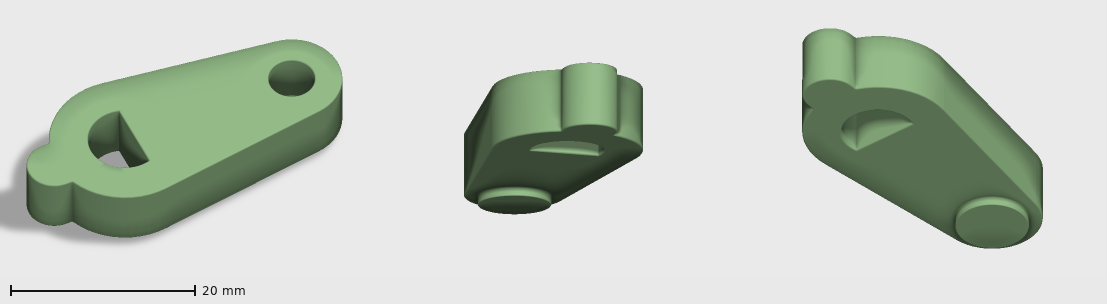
import cadquery as cq
import math

large_radius = 8.25
small_radius = 5.5
centre_distance = 20.0
tail_radius = 3.0
tail_offset = 8.45
plate_thickness = 7.0
window_radius = 4.0
window_flat_y = 1.1
hole_radius = 2.5
hole_depth = 6.0
boss_radius = 4.0
boss_height = 1.0
edge_fillet = 0.2
boss_rim_fillet = 0.1


def tapered_plate():
    """Two round ends of different size joined by their common tangents."""
    tangent_sine = (large_radius - small_radius) / centre_distance
    tangent_cosine = math.sqrt(1 - tangent_sine**2)
    large_x = large_radius * tangent_cosine
    large_y = large_radius * tangent_sine
    small_x = small_radius * tangent_cosine
    small_y = centre_distance + small_radius * tangent_sine
    return (
        cq.Workplane("XY")
        .moveTo(large_x, large_y)
        .lineTo(small_x, small_y)
        .threePointArc((0, centre_distance + small_radius), (-small_x, small_y))
        .lineTo(-large_x, large_y)
        .threePointArc((0, -large_radius), (large_x, large_y))
        .close()
        .extrude(plate_thickness)
    )


def tail():
    """Round-ended tab with straight sides running into the large end."""
    return (
        cq.Workplane("XY")
        .moveTo(-tail_radius, 0)
        .lineTo(-tail_radius, -tail_offset)
        .threePointArc((0, -tail_offset - tail_radius), (tail_radius, -tail_offset))
        .lineTo(tail_radius, 0)
        .close()
        .extrude(plate_thickness)
    )


def window():
    """D-shaped through opening, flat towards the small end."""
    flat_half_width = math.sqrt(window_radius**2 - window_flat_y**2)
    return (
        cq.Workplane("XY")
        .moveTo(-flat_half_width, window_flat_y)
        .threePointArc((0, -window_radius), (flat_half_width, window_flat_y))
        .close()
        .extrude(plate_thickness)
    )


def blind_hole():
    """Round pocket sunk from the top face at the small end."""
    return (
        cq.Workplane("XY", origin=(0, centre_distance, plate_thickness - hole_depth))
        .circle(hole_radius)
        .extrude(hole_depth)
    )


def boss():
    """Low round boss under the small end, with its lower rim rounded."""
    return (
        cq.Workplane("XY", origin=(0, centre_distance, -boss_height))
        .circle(boss_radius)
        .extrude(boss_height)
        .faces("<Z")
        .edges()
        .fillet(boss_rim_fillet)
    )


def fillet_tail_corners(plate):
    """Round the two upright inner corners where the tail leaves the large end."""
    corner_y = -math.sqrt(large_radius**2 - tail_radius**2)
    for corner_x in (-tail_radius, tail_radius):
        corner = cq.selectors.NearestToPointSelector((corner_x, corner_y, plate_thickness / 2))
        plate = plate.edges("|Z").edges(corner).fillet(edge_fillet)
    return plate


def fillet_boss_root(body):
    """Round the inner corner between the boss and the plate's underside."""
    reach = boss_radius + edge_fillet
    root = cq.selectors.BoxSelector(
        (-reach, centre_distance - reach, -edge_fillet),
        (reach, centre_distance + reach, edge_fillet),
        boundingbox=True,
    )
    return body.edges(root).fillet(edge_fillet)


plate = fillet_tail_corners(tapered_plate().union(tail()))
plate = plate.cut(window()).cut(blind_hole())
plate = plate.faces("<Z or >Z").edges().fillet(edge_fillet)
result = fillet_boss_root(plate.union(boss()))